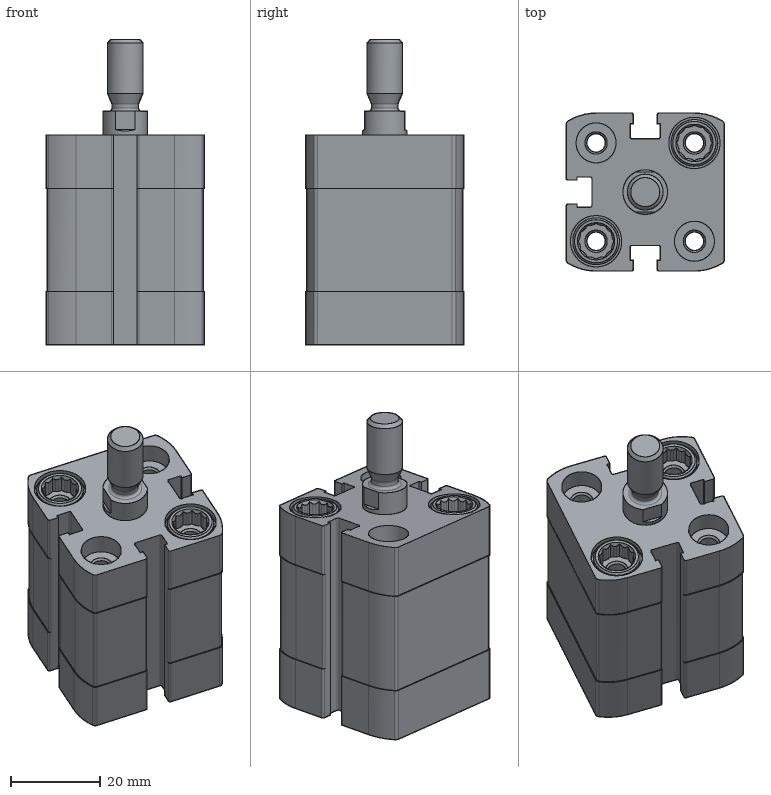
import cadquery as cq
import math


WIDTH = 35.5
TOTAL_HEIGHT = 68.5
HOUSING_HEIGHT = 47.05
END_CAP_HEIGHT = 12.0
BARREL_INSET = 0.2
CORNER_START = 11.0
CORNER_ARC_RADIUS = 12.0
CORNER_FILLET = 1.0

SLOT_MOUTH_WIDTH = 5.35
SLOT_INNER_WIDTH = 6.7
SLOT_DEPTH = 5.75
LIP_DEPTH = 2.5
LIP_RADIUS = 0.4
SLOT_FLOOR_RADIUS = 0.35
SLOT_ANGLES = (90, 180, 270)

HOLE_OFFSET = 11.0
HOLE_DIAMETER = 4.1
HOLE_CHAMFER_DIAMETER = 5.0
COUNTERBORE_DIAMETER = 9.0
COUNTERBORE_DEPTH = 4.7

GROOVE_OUTER_DIAMETER = 11.5
GROOVE_INNER_DIAMETER = 10.5
GROOVE_DEPTH = 1.5
RING_TOP_DIAMETER = 9.65
RING_CHAMFER_HEIGHT = 0.4
SOCKET_POINTS = 12
SOCKET_POINT_DIAMETER = 8.0
SOCKET_TOOTH_DIAMETER = 7.5
SOCKET_TOOTH_HALF_ANGLE = 5.0
SOCKET_DEPTH = 4.5
SOCKET_MOUTH_DIAMETER = 8.35
SOCKET_MOUTH_DEPTH = 0.8

COLLAR_DIAMETER = 10.0
COLLAR_HEIGHT = 5.35
FLATS_WIDTH = 9.0
FLATS_LENGTH = 4.1
FLATS_RUNOUT = 0.35
THREAD_DIAMETER = 8.0
THREAD_END_DIAMETER = 6.5
THREAD_CHAMFER_HEIGHT = 0.8
NECK_DIAMETER = 6.0
NECK_FILLET = 0.7
RUNOUT_FILLET = 0.5
NECK_HEIGHT = 1.6
THREAD_RUNOUT_ANGLE = 23.0


def cone(bottom_diameter, top_diameter, bottom_z, top_z):
    """Truncated cone standing on the Z axis."""
    return cq.Workplane(
        cq.Solid.makeCone(
            bottom_diameter / 2, top_diameter / 2, top_z - bottom_z, cq.Vector(0, 0, bottom_z)
        )
    )


def disc(diameter, bottom_z, top_z):
    """Cylinder standing on the Z axis."""
    return cq.Workplane().workplane(offset=bottom_z).circle(diameter / 2).extrude(top_z - bottom_z)


def slot_cutter(half_width, bottom_z, height):
    """Undercut slot that opens on the +X face, with rounded mouth and floor corners."""
    mouth = SLOT_MOUTH_WIDTH / 2
    inner = SLOT_INNER_WIDTH / 2
    lip_x = WIDTH / 2 - LIP_DEPTH
    floor_x = WIDTH / 2 - SLOT_DEPTH
    round_x = half_width - LIP_RADIUS
    round_y = mouth + LIP_RADIUS
    arc_middle = LIP_RADIUS * math.sqrt(0.5)
    return (
        cq.Workplane().workplane(offset=bottom_z)
        .moveTo(half_width, round_y)
        .threePointArc((round_x + arc_middle, round_y - arc_middle), (round_x, mouth))
        .lineTo(lip_x, mouth)
        .lineTo(lip_x, inner)
        .lineTo(floor_x, inner)
        .lineTo(floor_x, -inner)
        .lineTo(lip_x, -inner)
        .lineTo(lip_x, -mouth)
        .lineTo(round_x, -mouth)
        .threePointArc((round_x + arc_middle, arc_middle - round_y), (half_width, -round_y))
        .close()
        .extrude(height)
        .edges("|Z and <X")
        .fillet(SLOT_FLOOR_RADIUS)
    )


def housing_section(bottom_z, height, inset):
    """One length of the housing, with its outside moved inwards by the inset."""
    half = WIDTH / 2 - inset
    arc_radius = CORNER_ARC_RADIUS - inset
    arc_center_y = half - arc_radius
    end_angle = math.acos((half - CORNER_START) / arc_radius)
    mid_angle = (end_angle + math.pi / 2) / 2
    end_y = arc_center_y + arc_radius * math.sin(end_angle)
    mid_x = CORNER_START + arc_radius * math.cos(mid_angle)
    mid_y = arc_center_y + arc_radius * math.sin(mid_angle)
    section = (
        cq.Workplane().workplane(offset=bottom_z)
        .moveTo(CORNER_START, half)
        .threePointArc((mid_x, mid_y), (half, end_y))
        .lineTo(half, -end_y)
        .threePointArc((mid_x, -mid_y), (CORNER_START, -half))
        .lineTo(-CORNER_START, -half)
        .threePointArc((-mid_x, -mid_y), (-half, -end_y))
        .lineTo(-half, end_y)
        .threePointArc((-mid_x, mid_y), (-CORNER_START, half))
        .close()
        .extrude(height)
    )
    section = section.edges("|Z and (<X or >X)").fillet(CORNER_FILLET - inset)
    cutter = slot_cutter(half, bottom_z, height)
    for angle in SLOT_ANGLES:
        section = section.cut(cutter.rotate((0, 0, 0), (0, 0, 1), angle))
    return section


def screw_hole_cutter(seat_z):
    """Through hole with a chamfer where it meets its seat."""
    chamfer = (HOLE_CHAMFER_DIAMETER - HOLE_DIAMETER) / 2
    hole = disc(HOLE_DIAMETER, 0, seat_z)
    return hole.union(cone(HOLE_DIAMETER, HOLE_CHAMFER_DIAMETER, seat_z - chamfer, seat_z))


def counterbored_hole_cutter():
    """Screw hole with a plain round counterbore."""
    seat_z = HOUSING_HEIGHT - COUNTERBORE_DEPTH
    return screw_hole_cutter(seat_z).union(disc(COUNTERBORE_DIAMETER, seat_z, HOUSING_HEIGHT))


def socket_outline():
    """Corners of the twelve-point socket: a sharp point, then a blunt tooth, all the way round."""
    pitch = 360 / SOCKET_POINTS
    corners = []
    for index in range(SOCKET_POINTS):
        point_angle = index * pitch
        tooth_angle = point_angle + pitch / 2
        for diameter, angle in (
            (SOCKET_POINT_DIAMETER, point_angle),
            (SOCKET_TOOTH_DIAMETER, tooth_angle - SOCKET_TOOTH_HALF_ANGLE),
            (SOCKET_TOOTH_DIAMETER, tooth_angle + SOCKET_TOOTH_HALF_ANGLE),
        ):
            turn = math.radians(angle)
            corners.append((diameter / 2 * math.cos(turn), diameter / 2 * math.sin(turn)))
    return corners


def ring_groove_cutter():
    """Groove around the socket; the ring it leaves has a chamfered outer edge."""
    floor_z = HOUSING_HEIGHT - GROOVE_DEPTH
    chamfer_z = HOUSING_HEIGHT - RING_CHAMFER_HEIGHT
    ring = disc(GROOVE_INNER_DIAMETER, floor_z, chamfer_z).union(
        cone(GROOVE_INNER_DIAMETER, RING_TOP_DIAMETER, chamfer_z, HOUSING_HEIGHT)
    )
    return disc(GROOVE_OUTER_DIAMETER, floor_z, HOUSING_HEIGHT).cut(ring)


def socket_hole_cutter():
    """Screw hole below a twelve-point socket with a flared mouth and a ring groove."""
    seat_z = HOUSING_HEIGHT - SOCKET_DEPTH
    socket = (
        cq.Workplane().workplane(offset=seat_z)
        .polyline(socket_outline())
        .close()
        .extrude(SOCKET_DEPTH)
    )
    mouth_z = HOUSING_HEIGHT - SOCKET_MOUTH_DEPTH
    mouth = cone(SOCKET_TOOTH_DIAMETER, SOCKET_MOUTH_DIAMETER, mouth_z, HOUSING_HEIGHT)
    return screw_hole_cutter(seat_z).union(socket).union(mouth)


def make_housing():
    """End cap, slightly smaller barrel and end cap as one block with four corner holes."""
    barrel_height = HOUSING_HEIGHT - 2 * END_CAP_HEIGHT
    upper_cap_z = HOUSING_HEIGHT - END_CAP_HEIGHT
    body = (
        housing_section(0, END_CAP_HEIGHT, 0)
        .union(housing_section(END_CAP_HEIGHT, barrel_height, BARREL_INSET))
        .union(housing_section(upper_cap_z, END_CAP_HEIGHT, 0))
    )
    for side in (-1, 1):
        socket_place = (side * HOLE_OFFSET, side * HOLE_OFFSET, 0)
        plain_place = (side * HOLE_OFFSET, -side * HOLE_OFFSET, 0)
        body = body.cut(socket_hole_cutter().translate(socket_place))
        body = body.cut(ring_groove_cutter().translate(socket_place))
        body = body.cut(counterbored_hole_cutter().translate(plain_place))
    return body


def make_rod():
    """Turned rod with a collar, undercut neck and thread, and two wrench flats on the collar."""
    collar_r = COLLAR_DIAMETER / 2
    neck_r = NECK_DIAMETER / 2
    thread_r = THREAD_DIAMETER / 2
    collar_top = HOUSING_HEIGHT + COLLAR_HEIGHT
    neck_top = collar_top + NECK_HEIGHT
    fillet_mid = NECK_FILLET * (1 - math.sqrt(0.5))

    runout = math.radians(THREAD_RUNOUT_ANGLE)
    cone_r = neck_r + RUNOUT_FILLET * (1 - math.cos(runout))
    cone_bottom = neck_top + RUNOUT_FILLET * math.sin(runout)
    bend_r = neck_r + RUNOUT_FILLET * (1 - math.cos(runout / 2))
    bend_z = neck_top + RUNOUT_FILLET * math.sin(runout / 2)
    thread_bottom = cone_bottom + (thread_r - cone_r) / math.tan(runout)
    rod = (
        cq.Workplane("XZ")
        .moveTo(0, HOUSING_HEIGHT)
        .lineTo(collar_r, HOUSING_HEIGHT)
        .lineTo(collar_r, collar_top)
        .lineTo(neck_r + NECK_FILLET, collar_top)
        .threePointArc((neck_r + fillet_mid, collar_top + fillet_mid), (neck_r, collar_top + NECK_FILLET))
        .lineTo(neck_r, neck_top)
        .threePointArc((bend_r, bend_z), (cone_r, cone_bottom))
        .lineTo(thread_r, thread_bottom)
        .lineTo(thread_r, TOTAL_HEIGHT - THREAD_CHAMFER_HEIGHT)
        .lineTo(THREAD_END_DIAMETER / 2, TOTAL_HEIGHT)
        .lineTo(0, TOTAL_HEIGHT)
        .close()
        .revolve(360, (0, 0, 0), (0, 1, 0))
    )
    flat_y = FLATS_WIDTH / 2
    flat_bottom = collar_top - FLATS_LENGTH
    flat_cutter = (
        cq.Workplane("YZ")
        .moveTo(flat_y, collar_top)
        .lineTo(flat_y, flat_bottom)
        .lineTo(collar_r, flat_bottom - FLATS_RUNOUT)
        .lineTo(collar_r, collar_top)
        .close()
        .extrude(collar_r, both=True)
    )
    return rod.cut(flat_cutter).cut(flat_cutter.mirror("XZ"))


housing = make_housing()
rod = make_rod()
result = cq.Compound.makeCompound([housing.val(), rod.val()])